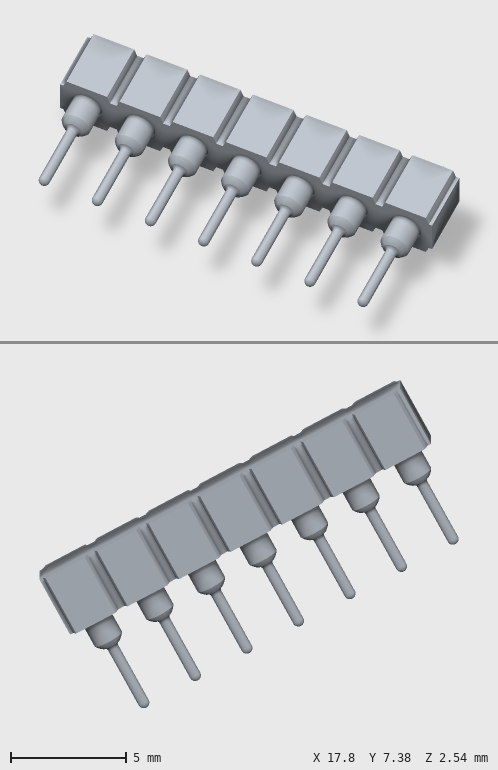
import cadquery as cq
import math

pin_count = 7
row_length = 17.78
pitch = row_length / pin_count
overall_depth = 7.38

housing_height = pitch
housing_depth = 2.8
notch_depth = 0.4
notch_top_width = 0.6
notch_floor_width = 0.32

bore_radius = 0.73
barrel_radius = 0.68
barrel_projection = 1.12
flare_recess = 0.1
flare_length = bore_radius - barrel_radius
shoulder_radius = 0.41
shoulder_length = 0.28
shoulder_bulge = 0.027
lead_radius = 0.25
neck_length = shoulder_radius - lead_radius

back_y = overall_depth / 2
front_y = back_y - housing_depth
flare_end_y = front_y + flare_recess
flare_start_y = flare_end_y + flare_length
barrel_end_y = front_y - barrel_projection
shoulder_end_y = barrel_end_y - shoulder_length
lead_start_y = shoulder_end_y - neck_length
tip_y = -overall_depth / 2
dome_start_y = tip_y + lead_radius

pin_places = [(index - (pin_count - 1) / 2) * pitch for index in range(pin_count)]
cell_borders = [(index - pin_count / 2) * pitch for index in range(pin_count + 1)]


def back_plane(x):
    """Workplane on the back of the housing, with extrusions running toward the front."""
    return cq.Workplane("XZ", origin=(x, back_y, 0))


def make_notch(x, side):
    """Tapered groove along Y, cut into the top (side = 1) or the bottom (side = -1)."""
    rim_z = side * housing_height / 2
    floor_z = side * (housing_height / 2 - notch_depth)
    outline = [
        (-notch_top_width / 2, rim_z),
        (-notch_floor_width / 2, floor_z),
        (notch_floor_width / 2, floor_z),
        (notch_top_width / 2, rim_z),
    ]
    return back_plane(x).polyline(outline).close().extrude(housing_depth)


def make_bore(x):
    """Round through hole for one pin."""
    return back_plane(x).circle(bore_radius).extrude(housing_depth)


def make_housing():
    """Strip with notches at the cell borders and a bore in the middle of each cell."""
    strip = back_plane(0).rect(row_length, housing_height).extrude(housing_depth)
    for x in cell_borders:
        for side in (1, -1):
            strip = strip.cut(make_notch(x, side))
    for x in pin_places:
        strip = strip.cut(make_bore(x))
    return strip.solids()


def make_pin(x):
    """Pin turned about an axis along Y; the half profile is given as (y, radius) points."""
    diagonal = math.sqrt(0.5)

    chord_angle = math.atan2(barrel_radius - shoulder_radius, shoulder_length)
    shoulder_middle = (
        (barrel_end_y + shoulder_end_y) / 2 - shoulder_bulge * math.sin(chord_angle),
        (barrel_radius + shoulder_radius) / 2 + shoulder_bulge * math.cos(chord_angle),
    )
    neck_middle = (
        lead_start_y + neck_length * diagonal,
        shoulder_radius - neck_length * diagonal,
    )
    dome_middle = (dome_start_y - lead_radius * diagonal, lead_radius * diagonal)

    return (
        cq.Workplane("YZ", origin=(x, 0, 0))
        .moveTo(back_y, 0)
        .lineTo(back_y, bore_radius)
        .lineTo(flare_start_y, bore_radius)
        .lineTo(flare_end_y, barrel_radius)
        .lineTo(barrel_end_y, barrel_radius)
        .threePointArc(shoulder_middle, (shoulder_end_y, shoulder_radius))
        .threePointArc(neck_middle, (lead_start_y, lead_radius))
        .lineTo(dome_start_y, lead_radius)
        .threePointArc(dome_middle, (tip_y, 0))
        .close()
        .revolve(360, (0, 0, 0), (1, 0, 0))
    )


housing = make_housing()
pins = [make_pin(x) for x in pin_places]
result = cq.Compound.makeCompound([housing.val(), *[pin.val() for pin in pins]])